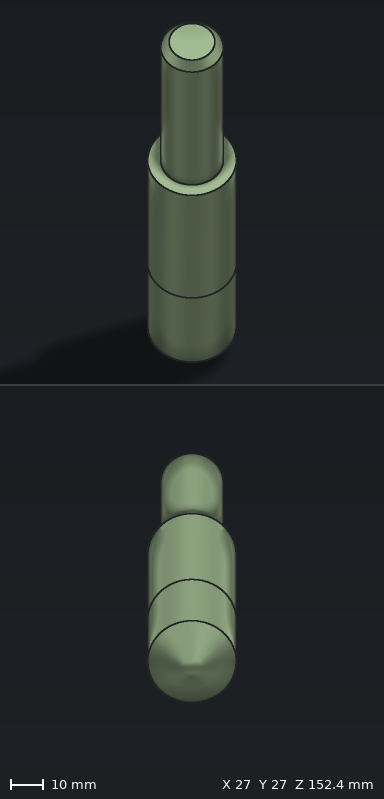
import cadquery as cq

total_height = 152.4
body_diameter = 27.0
shank_diameter = 19.0

cone_height = 8.1
joint_height = 40.7
shoulder_height = 92.7

chamfer_size = 2.6

body_radius = body_diameter / 2
shank_radius = shank_diameter / 2


def revolve_about_z(profile_points):
    """Turn a closed (radius, height) outline about the Z axis."""
    return cq.Workplane("XZ").polyline(profile_points).close().revolve(360, (0, 0), (0, 1))


def make_tip():
    """Cylinder with a conical point at its lower end."""
    return revolve_about_z([
        (0, 0),
        (body_radius, cone_height),
        (body_radius, joint_height),
        (0, joint_height),
    ])


def make_holder():
    """Body that sits flat on the tip and carries the chamfered shank."""
    return revolve_about_z([
        (0, joint_height),
        (body_radius, joint_height),
        (body_radius, shoulder_height),
        (shank_radius, shoulder_height),
        (shank_radius, total_height - chamfer_size),
        (shank_radius - chamfer_size, total_height),
        (0, total_height),
    ])


tip = make_tip()
holder = make_holder()

result = cq.Compound.makeCompound([tip.val(), holder.val()])